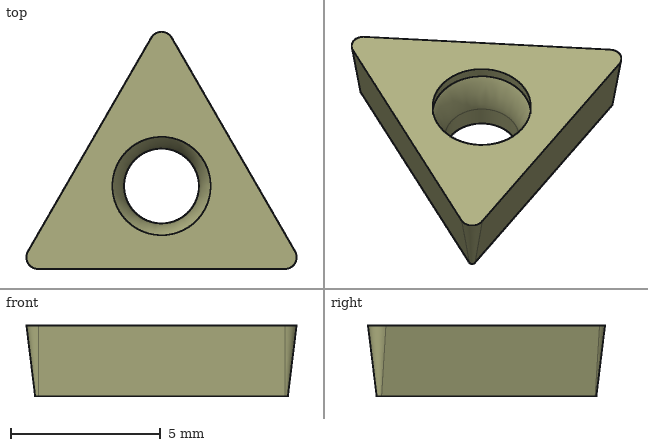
import cadquery as cq
import math

width = 9.04
thickness = 2.38
nose_radius = 0.4
clearance_angle = 7.0

mouth_radius = 1.645
throat_radius = 1.25
mouth_depth = 0.38
throat_depth = 1.6


def insert_body():
    """Rounded triangle narrowing downward at the clearance angle."""
    nose_spacing = width - 2 * nose_radius
    nose_circle_radius = nose_spacing / math.sqrt(3)
    nose_centers = [
        (nose_circle_radius * math.cos(math.radians(angle)),
         nose_circle_radius * math.sin(math.radians(angle)))
        for angle in (90, 210, 330)
    ]
    return (
        cq.Workplane("XY", origin=(0, 0, thickness))
        .polyline(nose_centers)
        .close()
        .offset2D(nose_radius)
        .extrude(-thickness, taper=clearance_angle)
    )


def screw_hole():
    """Revolved hole whose convex seat runs tangent into the throat."""
    mouth_bottom = thickness - mouth_depth
    throat_top = thickness - throat_depth
    seat_width = mouth_radius - throat_radius
    seat_height = mouth_bottom - throat_top
    seat_radius = (seat_width**2 + seat_height**2) / (2 * seat_width)
    seat_half_angle = math.asin(seat_height / seat_radius) / 2
    seat_middle = (
        throat_radius + seat_radius * (1 - math.cos(seat_half_angle)),
        throat_top + seat_radius * math.sin(seat_half_angle),
    )
    return (
        cq.Workplane("XZ")
        .lineTo(throat_radius, 0)
        .lineTo(throat_radius, throat_top)
        .threePointArc(seat_middle, (mouth_radius, mouth_bottom))
        .lineTo(mouth_radius, thickness)
        .lineTo(0, thickness)
        .close()
        .revolve(360, (0, 0, 0), (0, 1, 0))
    )


result = insert_body().cut(screw_hole())